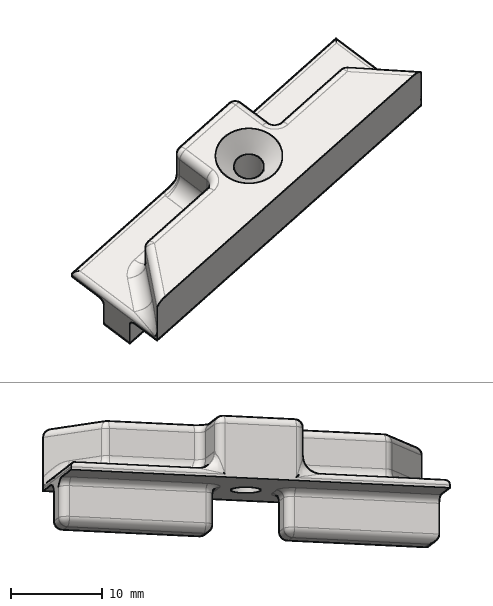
import cadquery as cq

length = 42.7
width = 12.7
body_height = 7.0
plate_height = 1.0
edge_radius = 1.0
root_radius = 2.0
rim_radius = 0.65

wall_x = 5.98
block_half = 5.0
corner_y = 16.05

peg_height = 5.2
peg_width = 3.9
peg_x = 6.7
peg_root_radius = 0.8

hole_x = 6.7
hole_diameter = 3.3
sink_diameter = 7.35
sink_angle = 90.0

half_length = length / 2
peg_inner_y = block_half - edge_radius
tolerance = 0.005
select_between = cq.selectors.BoxSelector


def both_ends(half):
    """Join a +Y half to its mirror image."""
    return half.union(half.mirror("XZ"))


def half_plate():
    """Plate over the +Y half, rounded along the upper rim of its front and end."""
    plate = cq.Workplane("XY").box(width, half_length, plate_height, centered=False)
    return plate.faces(">Z").edges("<X or >Y").fillet(rim_radius)


def half_upper_body():
    """Half of the central block, with the wing that tapers to the end corner."""
    upper = (
        cq.Workplane("XY")
        .lineTo(0, block_half)
        .lineTo(wall_x, block_half)
        .lineTo(wall_x, corner_y)
        .lineTo(width, half_length)
        .lineTo(width, 0)
        .close()
        .extrude(body_height)
    )
    wall_corners = select_between(
        (-tolerance, tolerance, 0), (wall_x + tolerance, half_length - tolerance, body_height)
    )
    return upper.edges("|Z").edges(wall_corners).fillet(edge_radius)


def make_body():
    """Plate and upper body, blended along the recessed walls and rounded on top."""
    half = half_plate().union(half_upper_body())

    slanted_foot = select_between(
        (wall_x + edge_radius, corner_y, plate_height - tolerance),
        (width - edge_radius, half_length - rim_radius - tolerance, plate_height + tolerance),
    )
    half = half.edges(slanted_foot).fillet(root_radius)

    top_of_walls = select_between(
        (-tolerance, tolerance, body_height - tolerance),
        (width - tolerance, half_length, body_height + tolerance),
    )
    half = half.edges(top_of_walls).fillet(edge_radius)
    return both_ends(half)


def make_peg(rounded_uprights):
    """Peg under the +Y end with a flared foot; the foot is cut flush with the plate end."""
    peg_length = half_length - peg_inner_y
    peg = (
        cq.Workplane("XY")
        .box(peg_width, peg_length, peg_height, centered=(True, False, False))
        .translate((peg_x, peg_inner_y, -peg_height))
    )
    peg = peg.edges(rounded_uprights).fillet(edge_radius)
    peg = peg.faces("<Z").edges().fillet(edge_radius)

    slab_height = plate_height - rim_radius
    slab = cq.Workplane("XY").box(width, length, slab_height, centered=False)
    peg = peg.union(slab)
    peg_foot = select_between(
        (tolerance, tolerance, -tolerance), (width - tolerance, length - tolerance, tolerance)
    )
    peg = peg.edges(peg_foot).fillet(peg_root_radius)
    plate_extent = cq.Workplane("XY").box(width, length, body_height + peg_height)
    return peg.intersect(plate_extent.translate((width / 2, 0, 0)))


def add_pegs(body):
    """Attach both pegs; only the +Y peg has rounded upright edges at its outer end."""
    far_peg = make_peg("|Z")
    near_peg = make_peg("|Z and <Y").mirror("XZ")
    return body.union(far_peg).union(near_peg)


def cut_countersunk_hole(body):
    """Countersunk through hole in the middle of the body."""
    return (
        body.faces(">Z")
        .workplane(origin=(hole_x, 0, 0))
        .cskHole(hole_diameter, sink_diameter, sink_angle)
    )


result = cut_countersunk_hole(add_pegs(make_body()))